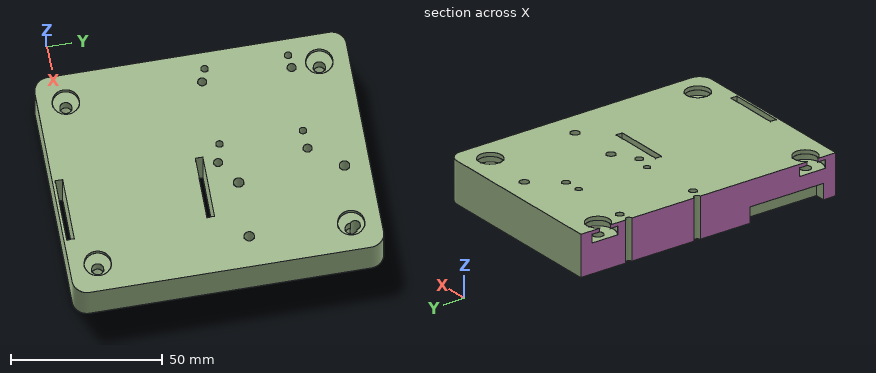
import cadquery as cq
import math

LENGTH_X = 80.0
LENGTH_Y = 104.5
HEIGHT = 16.0
CORNER_RADIUS = 5.0

POCKET_EDGE_DISTANCE = 10.0
POCKET_SPACING_Y = 85.0
MOUTH_DIAMETER = 9.0
MOUTH_DEPTH = 1.5
UNDERCUT_DIAMETER = 13.0
UNDERCUT_HEIGHT = 3.0
DRILL_DIAMETER = 4.0
DRILL_DEPTH = 4.0
DRILL_POINT_ANGLE = 118.0

HOLE_PATTERNS = [
    (2.4, -20.0, 18.5, 28.0, 28.0),
    (2.9, -14.4, 17.85, 30.0, 30.0),
    (3.4, 19.0, 26.0, 20.0, 35.5),
]

SLOT_LENGTH = 22.0
SLOT_WIDTH = 2.5
SLOT_CENTRE_X = 8.75
SLOT_CENTRES_Y = (-3.0, -50.0)

NOTCH_LENGTH = 30.0
NOTCH_HEIGHT = 6.0
NOTCH_DEPTH = 10.0


def make_block():
    block = cq.Workplane("XY").box(LENGTH_X, LENGTH_Y, HEIGHT, centered=(True, True, False))
    return block.edges("|Z").fillet(CORNER_RADIUS)


def make_corner_pocket():
    """Make the solid removed by one corner pocket, its axis on Z and its mouth at the top face."""
    mouth_radius = MOUTH_DIAMETER / 2
    undercut_radius = UNDERCUT_DIAMETER / 2
    drill_radius = DRILL_DIAMETER / 2
    mouth_bottom = HEIGHT - MOUTH_DEPTH
    floor = mouth_bottom - UNDERCUT_HEIGHT
    drill_shoulder = floor - DRILL_DEPTH
    drill_tip = drill_shoulder - drill_radius / math.tan(math.radians(DRILL_POINT_ANGLE / 2))
    profile = (
        cq.Workplane("XZ")
        .moveTo(0, HEIGHT)
        .lineTo(mouth_radius, HEIGHT)
        .lineTo(mouth_radius, mouth_bottom)
        .lineTo(undercut_radius, mouth_bottom)
        .lineTo(undercut_radius, floor)
        .lineTo(drill_radius, floor)
        .lineTo(drill_radius, drill_shoulder)
        .lineTo(0, drill_tip)
        .close()
    )
    return profile.revolve(360, (0, 0, 0), (0, 1, 0))


def cut_corner_pockets(body):
    pocket = make_corner_pocket()
    pocket_x = LENGTH_X / 2 - POCKET_EDGE_DISTANCE
    rear_y = LENGTH_Y / 2 - POCKET_EDGE_DISTANCE
    front_y = rear_y - POCKET_SPACING_Y
    for x in (-pocket_x, pocket_x):
        for y in (front_y, rear_y):
            body = body.cut(pocket.translate((x, y, 0)))
    return body


def cut_hole_patterns(body):
    for diameter, centre_x, centre_y, spacing_x, spacing_y in HOLE_PATTERNS:
        holes = (
            cq.Workplane("XY")
            .center(centre_x, centre_y)
            .rarray(spacing_x, spacing_y, 2, 2)
            .circle(diameter / 2)
            .extrude(HEIGHT)
        )
        body = body.cut(holes)
    return body


def cut_slots(body):
    slot_centres = [(SLOT_CENTRE_X, y) for y in SLOT_CENTRES_Y]
    slots = cq.Workplane("XY").pushPoints(slot_centres).rect(SLOT_LENGTH, SLOT_WIDTH).extrude(HEIGHT)
    return body.cut(slots)


def cut_side_notch(body):
    notch_start_y = -LENGTH_Y / 2 + CORNER_RADIUS
    notch = (
        cq.Workplane("XY")
        .box(NOTCH_DEPTH, NOTCH_LENGTH, NOTCH_HEIGHT, centered=False)
        .translate((-LENGTH_X / 2, notch_start_y, 0))
    )
    return body.cut(notch)


result = make_block()
result = cut_corner_pockets(result)
result = cut_hole_patterns(result)
result = cut_slots(result)
result = cut_side_notch(result)